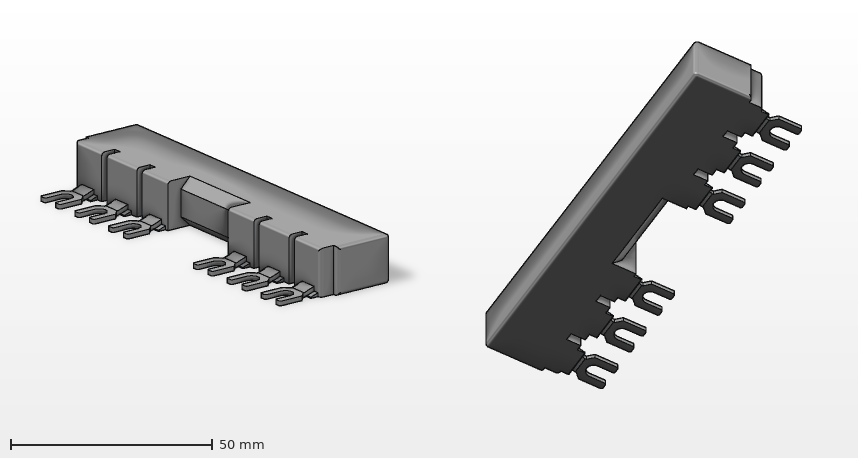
import cadquery as cq


housing_length = 104.5
housing_depth = 20.5
housing_height = 13.0
edge_radius = 1.0

block_row_length = 101.2
block_depth = 4.1
notch_width = 2.2
notch_offsets = (24.1, 38.7)

recess_length = 24.9
recess_chamfer = 2.8

lug_offsets = (17.5, 31.5, 45.5)
lug_reach = 11.8
lug_thickness = 1.3
neck_width = 5.0
fork_width = 8.2
bend_reach = 3.1
bend_rise = 1.0
shoulder_start = 3.5
shoulder_size = (fork_width - neck_width) / 2
slot_width = 4.0
slot_start = 5.0
tip_radius = 0.5

ledge_reach = 2.2
ledge_tip_height = bend_rise * (1 - ledge_reach / bend_reach)


def mirrored(offsets):
    """Places on both sides of the centre plane, in order along X."""
    return sorted([-offset for offset in offsets] + list(offsets))


def extrude_side_profile(points, width, x_middle):
    """Extrude an outline of (y, z) points along X, centred on x_middle."""
    return (
        cq.Workplane("YZ", origin=(x_middle - width / 2, 0, 0))
        .polyline(points)
        .close()
        .extrude(width)
    )


def box_from_front(length, y_front, y_back, x_middle=0.0):
    """Full-height box centred on x_middle between two Y planes."""
    return (
        cq.Workplane("XY", origin=(x_middle, y_front, 0))
        .box(length, y_back - y_front, housing_height, centered=(True, False, False))
    )


def make_slab():
    """Main bar, rounded around both end faces and along the back."""
    slab = box_from_front(housing_length, block_depth, housing_depth)
    return slab.faces("<X or >X or >Y").edges().fillet(edge_radius)


def make_block_row():
    """Front row of blocks as one bar, rounded on its front top and outer upright edges."""
    row_back = housing_depth / 2
    row = box_from_front(block_row_length, 0, row_back)
    return row.faces("<Y").edges("|Z or >Z").fillet(edge_radius)


def make_recess_cutter():
    """Recess whose floor is chamfered towards the top and the underside."""
    chamfer_back = block_depth + recess_chamfer
    outline = [
        (0, 0),
        (chamfer_back, 0),
        (block_depth, recess_chamfer),
        (block_depth, housing_height - recess_chamfer),
        (chamfer_back, housing_height),
        (0, housing_height),
    ]
    return extrude_side_profile(outline, recess_length, 0)


def make_ledge(x_middle):
    """Wedge under a lug neck, as wide as the fork."""
    outline = [(0, 0), (0, bend_rise), (-ledge_reach, ledge_tip_height), (-ledge_reach, 0)]
    return extrude_side_profile(outline, fork_width, x_middle)


def make_housing():
    housing = make_slab().union(make_block_row()).cut(make_recess_cutter())
    for x_middle in mirrored(notch_offsets):
        housing = housing.cut(box_from_front(notch_width, 0, block_depth, x_middle))
    for x_middle in mirrored(lug_offsets):
        housing = housing.union(make_ledge(x_middle))
    return housing


def make_bent_strip():
    """Side profile of a lug: a flat strip that rises towards the housing."""
    outline = [
        (-lug_reach, 0),
        (-bend_reach, 0),
        (0, bend_rise),
        (0, bend_rise + lug_thickness),
        (-bend_reach, lug_thickness),
        (-lug_reach, lug_thickness),
    ]
    return extrude_side_profile(outline, fork_width, 0)


def make_fork_outline():
    """Fork seen from above, as a prism tall enough to trim the bent strip."""
    neck_x = neck_width / 2
    fork_x = fork_width / 2
    slot_x = slot_width / 2
    shoulder_y = -(shoulder_start + shoulder_size)
    slot_arc_y = -(slot_start + slot_x)
    trim_height = bend_rise + lug_thickness
    fork = (
        cq.Workplane("XY")
        .moveTo(-neck_x, 0)
        .lineTo(-neck_x, -shoulder_start)
        .lineTo(-fork_x, shoulder_y)
        .lineTo(-fork_x, -lug_reach)
        .lineTo(-slot_x, -lug_reach)
        .lineTo(-slot_x, slot_arc_y)
        .threePointArc((0, -slot_start), (slot_x, slot_arc_y))
        .lineTo(slot_x, -lug_reach)
        .lineTo(fork_x, -lug_reach)
        .lineTo(fork_x, shoulder_y)
        .lineTo(neck_x, -shoulder_start)
        .lineTo(neck_x, 0)
        .close()
        .extrude(trim_height)
    )
    return fork.faces("<Y").edges("|Z").fillet(tip_radius)


def make_lug(x_middle):
    lug = make_bent_strip().intersect(make_fork_outline())
    return lug.translate((x_middle, 0, 0))


housing = make_housing()
lugs = [make_lug(x_middle) for x_middle in mirrored(lug_offsets)]

result = cq.Compound.makeCompound([housing.val(), *[lug.val() for lug in lugs]])